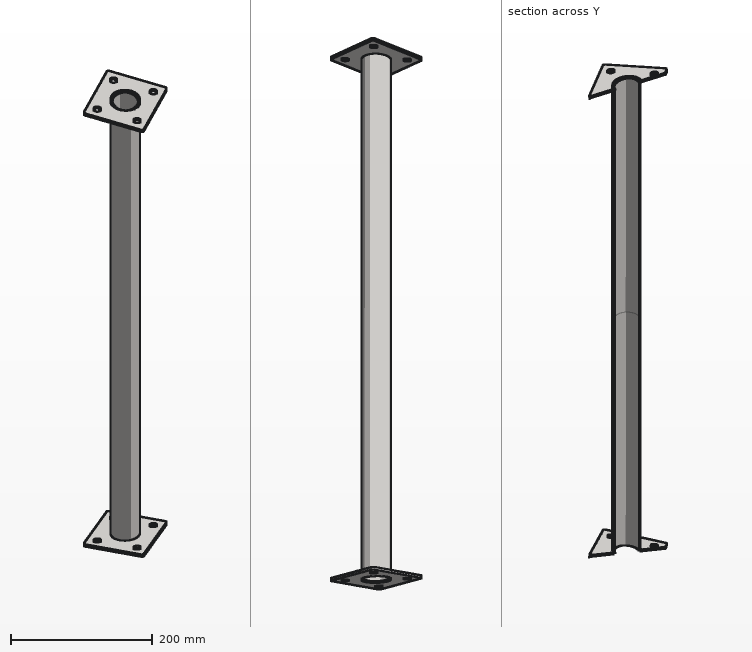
import cadquery as cq
import math

overall_height = 795.5
tilt = 6.4
turn = 36.5

plate_length = 94.0
plate_width = 91.0
plate_thickness = 4.0
corner_radius = 3.0
bolt_edge_distance = 15.0
bolt_hole_diameter = 10.0
bolt_spacing_long = plate_length - 2 * bolt_edge_distance
bolt_spacing_short = plate_width - 2 * bolt_edge_distance

tube_diameter = 42.0
tube_wall = 3.0
tube_recess = plate_thickness / 2

turn_radians = math.radians(turn)
corner_reach = (
    (plate_length / 2 - corner_radius) * math.cos(turn_radians)
    + (plate_width / 2 - corner_radius) * math.sin(turn_radians)
    + corner_radius
)
corner_rise = corner_reach * math.sin(math.radians(tilt))
plate_centre_height = overall_height / 2 - corner_rise


def tilt_to_top(body):
    """Lean a body whose outer face lies on Z = 0 and lift it to the top of the post."""
    return body.rotate((0, 0, 0), (0, 1, 0), tilt).translate((0, 0, plate_centre_height))


def mirror_to_bottom(body):
    return body.mirror("XY")


def make_tube():
    """Hollow tube whose ends are cut parallel to the plates, inside the plate bores."""
    tube = (
        cq.Workplane("XY")
        .circle(tube_diameter / 2)
        .circle(tube_diameter / 2 - tube_wall)
        .extrude(overall_height / 2, both=True)
    )
    trim_width = 3 * tube_diameter
    trim_height = overall_height / 2
    trim = cq.Workplane("XY").box(trim_width, trim_width, trim_height, centered=(True, True, False))
    top_trim = tilt_to_top(trim.translate((0, 0, -tube_recess)))
    return tube.cut(top_trim).cut(mirror_to_bottom(top_trim))


def make_top_plate():
    """Nearly square plate with four bolt holes and an upright bore that fits the tube."""
    plate = (
        cq.Workplane("XY")
        .rect(plate_length, plate_width)
        .extrude(-plate_thickness)
        .edges("|Z")
        .fillet(corner_radius)
        .faces(">Z")
        .workplane()
        .rect(bolt_spacing_long, bolt_spacing_short, forConstruction=True)
        .vertices()
        .hole(bolt_hole_diameter)
    )
    plate = tilt_to_top(plate.rotate((0, 0, 0), (0, 0, 1), -turn))
    tube_bore = cq.Workplane("XY").circle(tube_diameter / 2).extrude(overall_height)
    return plate.cut(tube_bore)


tube = make_tube()
top_plate = make_top_plate()
bottom_plate = mirror_to_bottom(top_plate)

result = cq.Compound.makeCompound([tube.val(), top_plate.val(), bottom_plate.val()])